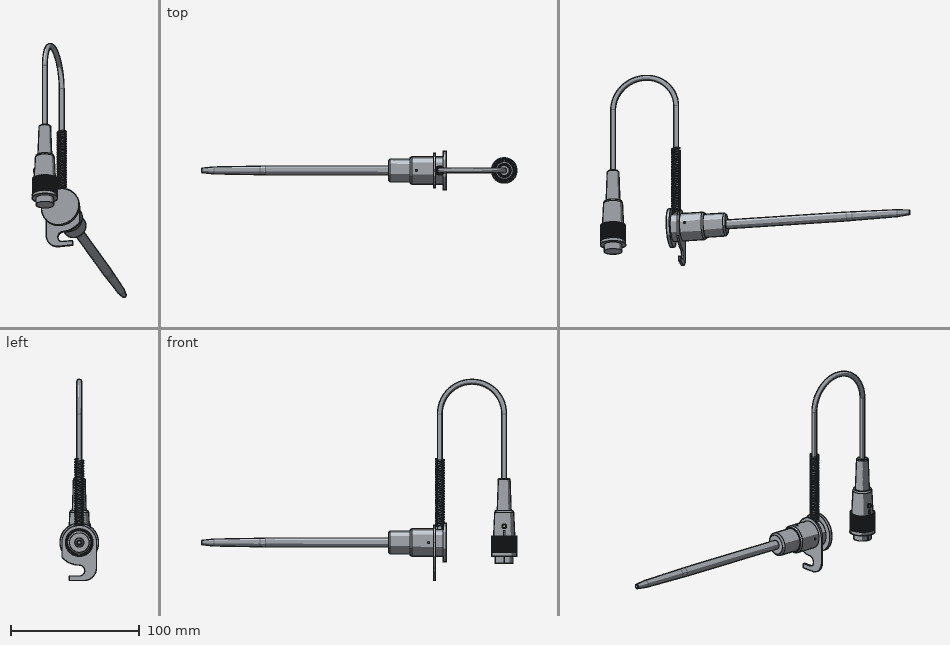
import cadquery as cq
import math

tip_diameter = 3.7
tip_end = 9.8
taper_start_diameter = 5.6
taper_end = 45.3
taper_end_diameter = 6.9
shaft_start = 49.7
shaft_diameter = 7.0
tip_chamfer = 0.5

housing_start = 144.9
nose_diameter = 18.0
nose_end = 161.7
barrel_diameter = 21.5
barrel_rim_diameter = 19.8
housing_chamfer = 1.5
flange_diameter = 30.0
flange_thickness = 2.5
housing_end = 190.0
flange_start = housing_end - flange_thickness
housing_hole_diameter = 1.5
housing_hole_depth = 2.5
top_hole_x = 166.6
side_hole_x = 176.2

plate_start = 180.0
plate_thickness = 1.5
plate_radius = 13.5
plate_bottom = -29.5
belly_radius = 17.5
slot_radius = 4.2
heel_radius = 10.0
hook_tip_y = 7.8
hook_tip_fillet = 0.7

cable_diameter = 4.0
bend_radius = 25.0
bend_center_z = 99.8
overall_length = 244.7
nut_lip_diameter = 19.8
connector_x = overall_length - nut_lip_diameter / 2
cable_x = connector_x - 2 * bend_radius

wire_diameter = 1.0
spring_diameter = 7.0
spring_pitch = 2.0
spring_bottom = 11.3
spring_top = 65.3
seat_bottom = 10.3
seat_diameter = 7.3

boot_top = 49.7
boot_top_diameter = 9.3
boot_chamfer = 0.7
boot_bottom_diameter = 11.0
sleeve_top = 24.7
sleeve_rim_diameter = 13.7
sleeve_rim_height = 1.5
sleeve_top_diameter = 15.0
sleeve_bottom_diameter = 16.6
plug_diameter = 14.0
plug_bottom = -16.1
button_diameter = 3.7
button_z = 12.7
button_face = 8.5
dimple_diameter = 2.5
dimple_depth = 0.2
index_rib_width = 1.5
index_rib_top = 9.3
keyway_width = 0.5
keyway_depth = 0.5

nut_top = 5.1
nut_bottom = -10.8
nut_diameter = 19.5
nut_plain_height = 3.0
nut_lip_height = 0.2
knurl_count = 60
knurl_depth = 0.7


def x_axis_turning(points):
    """Turn an (x, radius) outline around the X axis."""
    return cq.Workplane("XY").polyline(points).close().revolve(360, (0, 0, 0), (1, 0, 0))


def connector_turning(points):
    """Turn a (radius, z) outline around the vertical connector axis."""
    turned = cq.Workplane("XZ").polyline(points).close().revolve(360, (0, 0, 0), (0, 1, 0))
    return turned.translate((connector_x, 0, 0))


def make_probe():
    shaft_radius = shaft_diameter / 2
    tip_radius = tip_diameter / 2
    return x_axis_turning([
        (0, 0),
        (0, tip_radius - tip_chamfer),
        (tip_chamfer, tip_radius),
        (tip_end, taper_start_diameter / 2),
        (taper_end, taper_end_diameter / 2),
        (shaft_start, shaft_radius),
        (housing_start, shaft_radius),
        (housing_start, 0),
    ])


def spring_seat():
    """Upright cylinder cleared for the foot of the spring."""
    height = spring_top - seat_bottom
    seat = cq.Workplane("XY", origin=(cable_x, 0, seat_bottom)).circle(seat_diameter / 2)
    return seat.extrude(height)


def make_housing():
    nose_radius = nose_diameter / 2
    barrel_radius = barrel_diameter / 2
    housing = x_axis_turning([
        (housing_start, 0),
        (housing_start, nose_radius - housing_chamfer),
        (housing_start + housing_chamfer, nose_radius),
        (nose_end, nose_radius),
        (nose_end, barrel_rim_diameter / 2),
        (nose_end + housing_chamfer, barrel_radius),
        (flange_start, barrel_radius),
        (flange_start, flange_diameter / 2),
        (housing_end, flange_diameter / 2),
        (housing_end, 0),
    ])
    hole_radius = housing_hole_diameter / 2
    hole_floor = barrel_radius - housing_hole_depth
    top_hole = cq.Workplane("XY", origin=(top_hole_x, 0, hole_floor)).circle(hole_radius)
    housing = housing.cut(top_hole.extrude(housing_hole_depth))
    side_circle = cq.Workplane("XZ", origin=(side_hole_x, -hole_floor, 0)).circle(hole_radius)
    side_hole = side_circle.extrude(housing_hole_depth)
    housing = housing.cut(side_hole).cut(side_hole.mirror("XZ"))
    return housing.cut(spring_seat())


def make_hook_plate():
    slot_center_z = -belly_radius - slot_radius
    slot_bottom = slot_center_z - slot_radius
    belly_z = -math.sqrt(belly_radius**2 - plate_radius**2)
    half_angle = math.asin(plate_radius / belly_radius) / 2
    belly_mid = (belly_radius * math.sin(half_angle), -belly_radius * math.cos(half_angle))
    heel_diagonal = heel_radius * (1 - math.sqrt(0.5))
    outline = (
        cq.Workplane("YZ", origin=(plate_start, 0, 0))
        .moveTo(-plate_radius, 0)
        .threePointArc((0, plate_radius), (plate_radius, 0))
        .lineTo(plate_radius, belly_z)
        .threePointArc(belly_mid, (0, -belly_radius))
        .threePointArc((-slot_radius, slot_center_z), (0, slot_bottom))
        .lineTo(hook_tip_y, slot_bottom)
        .lineTo(hook_tip_y, plate_bottom)
        .lineTo(heel_radius - plate_radius, plate_bottom)
        .threePointArc(
            (heel_diagonal - plate_radius, plate_bottom + heel_diagonal),
            (-plate_radius, plate_bottom + heel_radius),
        )
        .close()
    )
    plate = outline.extrude(plate_thickness)
    plate_middle = plate_start + plate_thickness / 2
    for corner_z in (slot_bottom, plate_bottom):
        corner = cq.selectors.NearestToPointSelector((plate_middle, hook_tip_y, corner_z))
        plate = plate.edges("|X").edges(corner).fillet(hook_tip_fillet)
    barrel_hole = cq.Workplane("YZ", origin=(plate_start, 0, 0)).circle(barrel_diameter / 2)
    return plate.cut(barrel_hole.extrude(plate_thickness)).cut(spring_seat())


def make_cable():
    path = (
        cq.Workplane("XZ")
        .moveTo(cable_x, seat_bottom)
        .lineTo(cable_x, bend_center_z)
        .threePointArc((cable_x + bend_radius, bend_center_z + bend_radius), (connector_x, bend_center_z))
        .lineTo(connector_x, boot_top)
    )
    return cq.Workplane("XY", origin=(cable_x, 0, seat_bottom)).circle(cable_diameter / 2).sweep(path)


def make_spring():
    coil_radius = (spring_diameter - wire_diameter) / 2
    wire_radius = wire_diameter / 2
    height = spring_top - spring_bottom - wire_diameter
    coil = cq.Wire.makeHelix(spring_pitch, height, coil_radius)
    spring = cq.Workplane("XZ", origin=(coil_radius, 0, 0)).circle(wire_radius).sweep(coil, isFrenet=True)
    return spring.translate((cable_x, 0, spring_bottom + wire_radius))


def make_connector():
    boot_radius = boot_top_diameter / 2
    connector = connector_turning([
        (0, boot_top),
        (boot_radius - boot_chamfer, boot_top),
        (boot_radius, boot_top - boot_chamfer),
        (boot_bottom_diameter / 2, sleeve_top),
        (sleeve_rim_diameter / 2, sleeve_top),
        (sleeve_top_diameter / 2, sleeve_top - sleeve_rim_height),
        (sleeve_bottom_diameter / 2, nut_top),
        (plug_diameter / 2, nut_top),
        (plug_diameter / 2, plug_bottom),
        (0, plug_bottom),
    ])
    button = cq.Workplane("XZ", origin=(connector_x, 0, button_z)).circle(button_diameter / 2)
    connector = connector.union(button.extrude(button_face))
    dimple_floor = button_face - dimple_depth
    dimple = cq.Workplane("XZ", origin=(connector_x, -dimple_floor, button_z)).circle(dimple_diameter / 2)
    connector = connector.cut(dimple.extrude(dimple_depth))
    rib_height = index_rib_top - nut_top
    index_rib = (
        cq.Workplane("XY", origin=(connector_x, -button_face / 2, nut_top))
        .rect(index_rib_width, button_face)
        .extrude(rib_height)
    )
    keyway = (
        cq.Workplane("XY", origin=(connector_x, -plug_diameter / 2, plug_bottom))
        .rect(keyway_width, 2 * keyway_depth)
        .extrude(nut_bottom - plug_bottom)
    )
    return connector.union(index_rib).cut(keyway)


def make_nut():
    tooth = 2 * math.pi / knurl_count
    outer_radius = nut_diameter / 2
    root_radius = outer_radius - knurl_depth
    points = []
    for index in range(knurl_count):
        for radius, turn in ((outer_radius, index), (root_radius, index + 0.5)):
            points.append((radius * math.cos(turn * tooth), radius * math.sin(turn * tooth)))
    base = cq.Workplane("XY")
    height = nut_top - nut_bottom
    knurl = base.workplane(nut_plain_height).polyline(points).close().extrude(height - nut_plain_height)
    plain_band = base.circle(outer_radius).extrude(nut_plain_height)
    lip = base.circle(nut_lip_diameter / 2).extrude(nut_lip_height)
    bore = base.circle(plug_diameter / 2).extrude(height)
    nut = knurl.union(plain_band).union(lip).cut(bore)
    return nut.translate((connector_x, 0, nut_bottom))


probe = make_probe()
housing = make_housing()
hook_plate = make_hook_plate()
cable = make_cable()
spring = make_spring()
connector = make_connector()
nut = make_nut()

result = cq.Compound.makeCompound([
    probe.val(),
    housing.val(),
    hook_plate.val(),
    cable.val(),
    spring.val(),
    connector.val(),
    nut.val(),
])